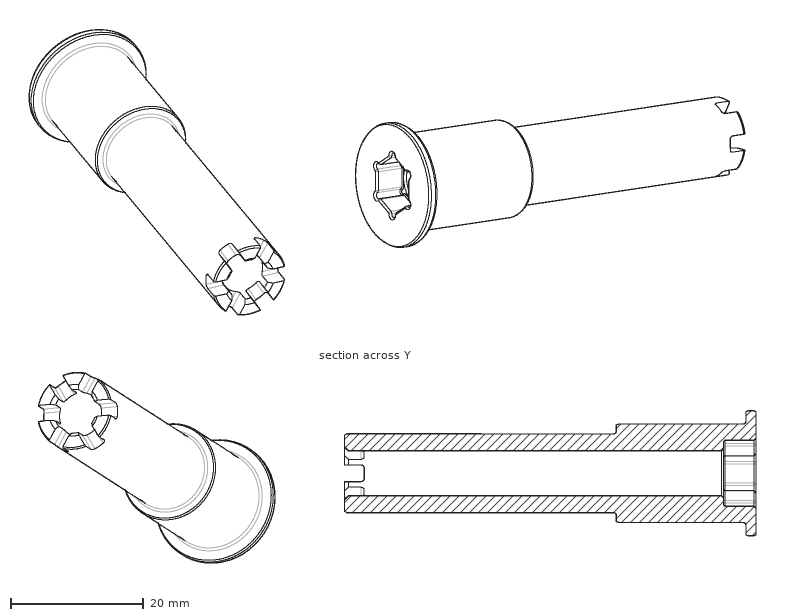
import cadquery as cq
import math

total_length = 62.3
flange_diameter = 19.0
flange_thickness = 1.55
collar_diameter = 14.95
collar_end = 21.2
shank_diameter = 11.95
bore_diameter = 6.8
root_radius = 0.4

break_length = 0.4
break_depth = 0.2

socket_depth = 4.9
socket_flat_distance = 7.85
corner_count = 6
lobe_radius = 0.5
lobe_offset = 4.5
lobe_blend_radius = 0.45
mouth_chamfer = 0.3
floor_corner_chamfer = 0.2

floor_chamfer = 0.3
end_chamfer = 0.6

slot_count = 6
slot_width = 2.5
slot_depth = 3.0
slot_corner_radius = 0.5

x_axis = ((0, 0, 0), (1, 0, 0))


def turned_body():
    """Flange, collar and shank, revolved about X."""
    flange_radius = flange_diameter / 2
    collar_radius = collar_diameter / 2
    shank_radius = shank_diameter / 2
    profile = (
        cq.Workplane("XY")
        .moveTo(0, 0)
        .lineTo(0, flange_radius - break_depth)
        .lineTo(break_length, flange_radius)
        .lineTo(flange_thickness - break_length, flange_radius)
        .lineTo(flange_thickness, flange_radius - break_depth)
        .lineTo(flange_thickness, collar_radius + root_radius)
        .radiusArc((flange_thickness + root_radius, collar_radius), -root_radius)
        .lineTo(collar_end - break_length, collar_radius)
        .lineTo(collar_end, collar_radius - break_depth)
        .lineTo(collar_end, shank_radius + root_radius)
        .radiusArc((collar_end + root_radius, shank_radius), -root_radius)
        .lineTo(total_length - break_length, shank_radius)
        .lineTo(total_length, shank_radius - break_depth)
        .lineTo(total_length, 0)
        .close()
    )
    return profile.revolve(360, *x_axis)


def bore():
    """Through bore with a chamfer at the socket floor and one at the slotted end."""
    bore_radius = bore_diameter / 2
    profile = (
        cq.Workplane("XY")
        .moveTo(0, 0)
        .lineTo(0, bore_radius)
        .lineTo(socket_depth, bore_radius)
        .lineTo(socket_depth, bore_radius + floor_chamfer)
        .lineTo(socket_depth + floor_chamfer, bore_radius)
        .lineTo(total_length - end_chamfer, bore_radius)
        .lineTo(total_length, bore_radius + end_chamfer)
        .lineTo(total_length, 0)
        .close()
    )
    return profile.revolve(360, *x_axis)


def socket():
    """Lobed hexagon with corners on the Z axis, narrowed around its floor."""
    corner_diameter = socket_flat_distance / math.cos(math.pi / corner_count)
    hexagon = (
        cq.Workplane("YZ")
        .transformed(rotate=(0, 0, 90))
        .polygon(corner_count, corner_diameter)
        .extrude(socket_depth)
    )
    lobes = (
        cq.Workplane("YZ")
        .polarArray(lobe_offset, 90, 360, corner_count)
        .circle(lobe_radius)
        .extrude(socket_depth)
    )
    recess = hexagon.union(lobes).edges("|X").fillet(lobe_blend_radius)
    return recess.faces(">X").chamfer(floor_corner_chamfer)


def socket_mouth():
    """Flare that chamfers the socket edge at the flange face."""
    throat = socket().faces("<X").wires().val()
    rim = throat.offset2D(mouth_chamfer)[0]
    return cq.Workplane("YZ").add(rim).toPending().extrude(mouth_chamfer, taper=45)


def end_slots():
    """Round-cornered slots, each bar cutting two opposite walls."""
    bar = (
        cq.Workplane("XY")
        .box(2 * slot_depth, flange_diameter, slot_width)
        .edges("<X and |Y")
        .fillet(slot_corner_radius)
        .translate((total_length, 0, 0))
    )
    slots = bar
    for index in range(1, slot_count // 2):
        slots = slots.union(bar.rotate(*x_axis, index * 360 / slot_count))
    return slots


result = turned_body().cut(bore()).cut(socket()).cut(socket_mouth()).cut(end_slots())